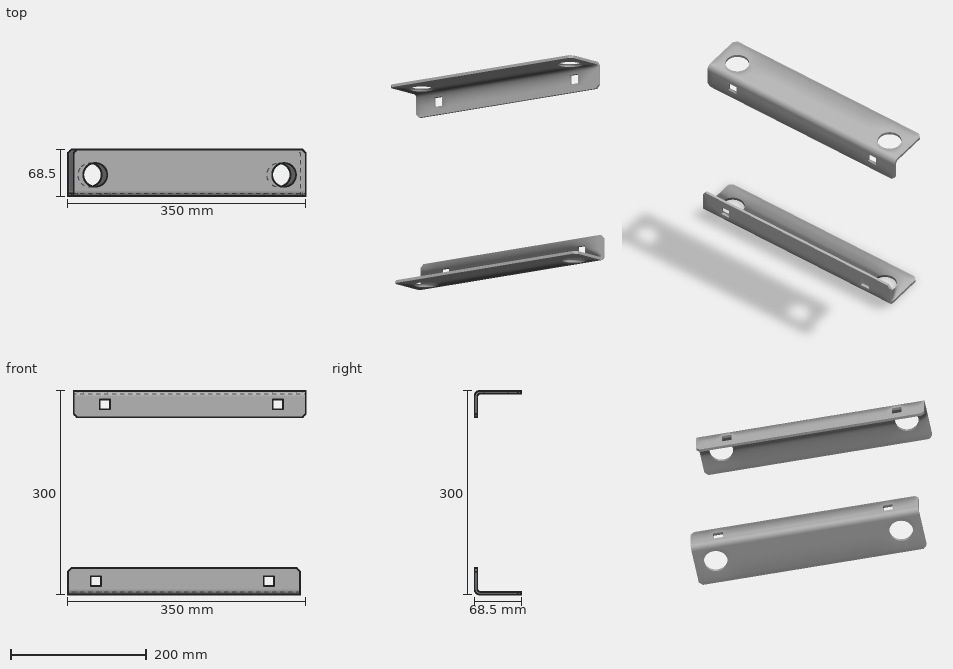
import cadquery as cq

overall_length = 350.0
overall_height = 300.0
bracket_length = 341.5

depth = 68.5
flange_height = 39.2
thickness = 4.2
bend_radius = 8.0
inner_bend_radius = bend_radius - thickness
corner_chamfer = 5.2

round_diameter = 35.0
round_spacing = 278.0
round_from_front = 31.0

slot_width = 14.7
slot_height = 14.0
slot_spacing = 254.8
slot_first_x = 46.0
slot_from_bend_face = 20.0


def bent_sheet():
    """L section with its wide leg on Z = 0 and its flange rising at Y = 0."""
    section = (
        cq.Workplane("YZ")
        .moveTo(0, flange_height)
        .lineTo(0, bend_radius)
        .radiusArc((bend_radius, 0), -bend_radius)
        .lineTo(depth, 0)
        .lineTo(depth, thickness)
        .lineTo(bend_radius, thickness)
        .radiusArc((thickness, bend_radius), inner_bend_radius)
        .lineTo(thickness, flange_height)
        .close()
    )
    return section.extrude(bracket_length)


def chamfer_free_corners(sheet):
    """Cut the two end corners of each leg's free edge at 45 degrees."""
    sheet = sheet.faces(">Y").edges("|Z").chamfer(corner_chamfer)
    return sheet.faces(">Z").edges("|Y").chamfer(corner_chamfer)


def round_holes():
    middle_x = bracket_length / 2
    return (
        cq.Workplane("XY")
        .pushPoints([(middle_x + side * round_spacing / 2, round_from_front) for side in (-1, 1)])
        .circle(round_diameter / 2)
        .extrude(thickness)
    )


def flange_slots(first_x):
    return (
        cq.Workplane("XY")
        .pushPoints([(first_x + i * slot_spacing, thickness / 2) for i in range(2)])
        .rect(slot_width, thickness)
        .extrude(slot_height)
        .translate((0, 0, slot_from_bend_face - slot_height / 2))
    )


def bracket():
    """Bracket with its flange up and its slots set back from the right end."""
    slots_from_left = bracket_length - slot_first_x - slot_spacing
    sheet = chamfer_free_corners(bent_sheet())
    return sheet.cut(round_holes()).cut(flange_slots(slots_from_left))


half_turn = 180
brackets = []
for turn, corner_x, corner_z in ((0, 0, 0), (half_turn, overall_length, overall_height)):
    placed = bracket().rotate((0, 0, 0), (0, 1, 0), turn).translate((corner_x, 0, corner_z))
    brackets.append(placed.val())

result = cq.Compound.makeCompound(brackets)